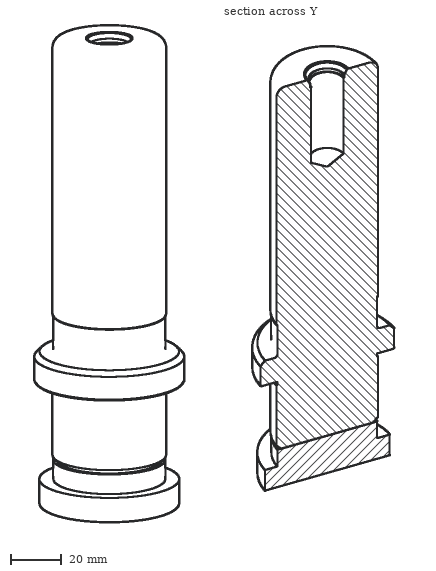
import cadquery as cq
import math

total_height = 190.0

flange_radius = 27.5
flange_height = 10.0
flange_edge_chamfer = 0.2
spigot_radius = 22.0
spigot_top = 18.0

pillar_radius = 22.5
top_round = 4.0
foot_chamfer = 1.9
relief_depth = 0.4
relief_radius = pillar_radius - relief_depth
shank_top = 49.0

collar_diameter = 59.0
collar_radius = collar_diameter / 2
collar_bottom = 50.2
collar_top = 62.1
collar_top_chamfer = 2.0
collar_bottom_chamfer = 0.5

neck_top = 77.1
neck_root_radius = 1.1

mouth_radius = 9.1
cone_radius = 8.5
clearance_radius = 7.5
clearance_bottom_depth = 3.8
bore_radius = 7.0
bore_depth = 39.9
mouth_half_angle = 60.0
cone_half_angle = 30.0
drill_tip_half_angle = 60.0


def build_retainer():
    """Flange disc with its lower edge broken, and the spigot on top of it."""
    flange = cq.Workplane("XY").circle(flange_radius).extrude(flange_height)
    flange = flange.faces("<Z").edges().chamfer(flange_edge_chamfer)
    spigot = cq.Workplane("XY").circle(spigot_radius).extrude(spigot_top)
    return flange.union(spigot)


def build_pillar_blank():
    """Revolve the stepped outside of the pillar around Z."""
    profile = (
        cq.Workplane("XZ")
        .moveTo(0, spigot_top)
        .lineTo(pillar_radius - foot_chamfer, spigot_top)
        .lineTo(pillar_radius, spigot_top + foot_chamfer)
        .lineTo(pillar_radius, shank_top - relief_depth)
        .lineTo(relief_radius, shank_top)
        .lineTo(relief_radius, collar_bottom)
        .lineTo(collar_radius - collar_bottom_chamfer, collar_bottom)
        .lineTo(collar_radius, collar_bottom + collar_bottom_chamfer)
        .lineTo(collar_radius, collar_top - collar_top_chamfer)
        .lineTo(collar_radius - collar_top_chamfer, collar_top)
        .lineTo(relief_radius + neck_root_radius, collar_top)
        .radiusArc((relief_radius, collar_top + neck_root_radius), neck_root_radius)
        .lineTo(relief_radius, neck_top)
        .lineTo(pillar_radius, neck_top + relief_depth)
        .lineTo(pillar_radius, total_height - top_round)
        .radiusArc((pillar_radius - top_round, total_height), -top_round)
        .lineTo(0, total_height)
        .close()
    )
    return profile.revolve(axisStart=(0, 0, 0), axisEnd=(0, 1, 0))


def cone_height(large_radius, small_radius, half_angle):
    """Axial height of a cone that narrows between two radii."""
    return (large_radius - small_radius) / math.tan(math.radians(half_angle))


def build_centre_hole():
    """Revolve the hole: flared mouth, centring cone, clearance, bore and drill tip."""
    cone_start = total_height - cone_height(mouth_radius, cone_radius, mouth_half_angle)
    cone_end = cone_start - cone_height(cone_radius, clearance_radius, cone_half_angle)
    clearance_bottom = total_height - clearance_bottom_depth
    bore_bottom = total_height - bore_depth
    tip = bore_bottom - cone_height(bore_radius, 0, drill_tip_half_angle)
    profile = (
        cq.Workplane("XZ")
        .moveTo(0, tip)
        .lineTo(bore_radius, bore_bottom)
        .lineTo(bore_radius, clearance_bottom)
        .lineTo(clearance_radius, clearance_bottom)
        .lineTo(clearance_radius, cone_end)
        .lineTo(cone_radius, cone_start)
        .lineTo(mouth_radius, total_height)
        .lineTo(0, total_height)
        .close()
    )
    return profile.revolve(axisStart=(0, 0, 0), axisEnd=(0, 1, 0))


retainer = build_retainer()
pillar = build_pillar_blank().cut(build_centre_hole())

result = cq.Compound.makeCompound([retainer.val(), pillar.val()])